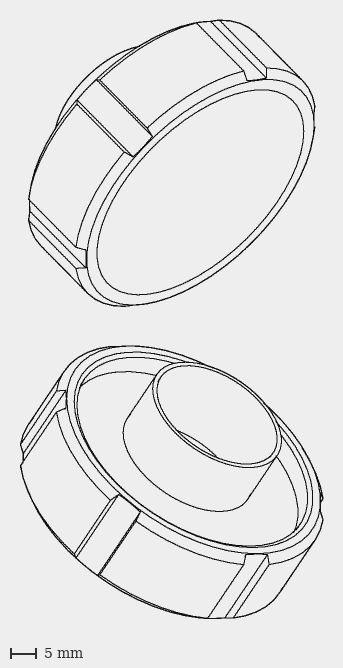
import cadquery as cq

total_length = 28.0
nut_length = 18.2
nut_front = total_length - nut_length

nut_radius = 29.15
nut_chamfer = 1.6
nut_bore_radius = 25.05
bore_chamfer_height = 0.9
bore_chamfer_depth = 0.5

slot_count = 6
slot_floor_radius = 27.65
slot_floor_width = 5.4
slot_mouth_width = 6.5
slot_overcut = 0.6

tube_radius = 14.0
tube_wall = 0.95
bore_depth = 16.45
cone_start = 12.3
cone_end = 14.35


def make_slot_cutter():
    """Full-length trapezoidal prism for the slot on the +Y side."""
    flare = (slot_mouth_width - slot_floor_width) / 2 / (nut_radius - slot_floor_radius)
    top_radius = nut_radius + slot_overcut
    floor_half = slot_floor_width / 2
    top_half = floor_half + flare * (top_radius - slot_floor_radius)
    return (
        cq.Workplane("YZ", origin=(nut_front, 0, 0))
        .moveTo(slot_floor_radius, -floor_half)
        .lineTo(top_radius, -top_half)
        .lineTo(top_radius, top_half)
        .lineTo(slot_floor_radius, floor_half)
        .close()
        .extrude(nut_length)
    )


def make_nut():
    """Chamfered ring with evenly spaced spanner slots."""
    nut = (
        cq.Workplane("XY")
        .moveTo(nut_front, nut_bore_radius + bore_chamfer_height)
        .lineTo(nut_front, nut_radius - nut_chamfer)
        .lineTo(nut_front + nut_chamfer, nut_radius)
        .lineTo(total_length - nut_chamfer, nut_radius)
        .lineTo(total_length, nut_radius - nut_chamfer)
        .lineTo(total_length, nut_bore_radius)
        .lineTo(nut_front + bore_chamfer_depth, nut_bore_radius)
        .close()
        .revolve(360, (0, 0, 0), (1, 0, 0))
    )
    cutter = make_slot_cutter()
    for index in range(slot_count):
        nut = nut.cut(cutter.rotate((0, 0, 0), (1, 0, 0), index * 360 / slot_count))
    return nut


def make_liner():
    """Revolved half section: blind tube whose shoulder fills the nut bore."""
    bore_radius = tube_radius - tube_wall
    return (
        cq.Workplane("XY")
        .moveTo(0, bore_radius)
        .lineTo(0, tube_radius)
        .lineTo(cone_start, tube_radius)
        .lineTo(cone_end, nut_bore_radius)
        .lineTo(total_length, nut_bore_radius)
        .lineTo(total_length, 0)
        .lineTo(bore_depth, 0)
        .lineTo(bore_depth, bore_radius)
        .close()
        .revolve(360, (0, 0, 0), (1, 0, 0))
    )


nut = make_nut()
liner = make_liner()

result = cq.Compound.makeCompound([nut.val(), liner.val()])